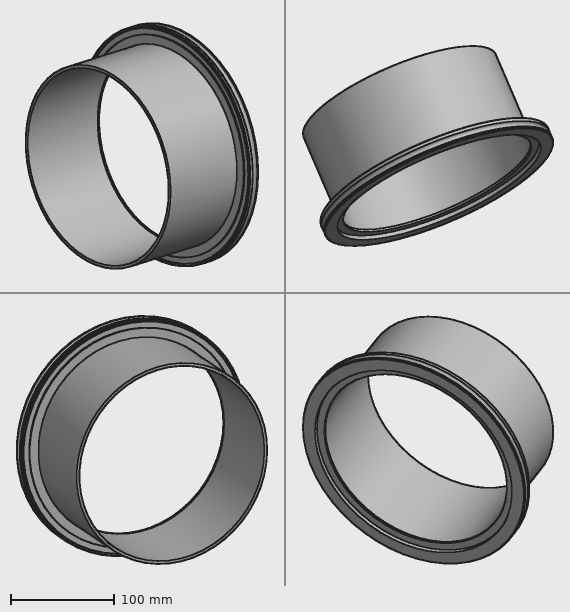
import cadquery as cq

TOTAL_LENGTH = 100.8

TUBE_OUTER_DIAMETER = 203.3
TUBE_INNER_DIAMETER = 197.0

FLANGE_DIAMETER = 240.0
FLANGE_THICKNESS = 12.0
FLANGE_BORE_DIAMETER = 197.3
SOCKET_DIAMETER = 203.8
SOCKET_DEPTH = 5.0
RIM_CHAMFER = 0.7

FACE_GROOVE_INNER_DIAMETER = 222.2
FACE_GROOVE_OUTER_DIAMETER = 235.0
FACE_GROOVE_DEPTH = 1.5

RECESS_DIAMETER = 213.0
RECESS_DEPTH = 4.5

RIM_GROOVE_FLOOR_DIAMETER = 235.0
RIM_GROOVE_WIDTH = 5.8
RIM_GROOVE_CENTER_Y = -5.0


def cylinder(diameter, front_y, rear_y):
    """Solid cylinder around the Y axis between two Y positions."""
    return cq.Workplane("XZ", origin=(0, rear_y, 0)).circle(diameter / 2).extrude(rear_y - front_y)


def make_tube():
    """Plain tube whose rear end rests on the floor of the flange socket."""
    rear_y = SOCKET_DEPTH - FLANGE_THICKNESS
    outside = cylinder(TUBE_OUTER_DIAMETER, -TOTAL_LENGTH, rear_y)
    return outside.cut(cylinder(TUBE_INNER_DIAMETER, -TOTAL_LENGTH, rear_y))


def make_rim_groove():
    """Ring with an arc-shaped section that cuts the groove around the rim."""
    rim_radius = FLANGE_DIAMETER / 2
    floor_radius = RIM_GROOVE_FLOOR_DIAMETER / 2
    front_y = RIM_GROOVE_CENTER_Y - RIM_GROOVE_WIDTH / 2
    rear_y = RIM_GROOVE_CENTER_Y + RIM_GROOVE_WIDTH / 2
    return (
        cq.Workplane("XY")
        .moveTo(rim_radius, front_y)
        .threePointArc((floor_radius, RIM_GROOVE_CENTER_Y), (rim_radius, rear_y))
        .close()
        .revolve(360, (0, 0, 0), (0, 1, 0))
    )


def make_face_groove():
    """Flat ring that cuts the groove in the front face."""
    front_y = -FLANGE_THICKNESS
    floor_y = front_y + FACE_GROOVE_DEPTH
    ring = cylinder(FACE_GROOVE_OUTER_DIAMETER, front_y, floor_y)
    return ring.cut(cylinder(FACE_GROOVE_INNER_DIAMETER, front_y, floor_y))


def make_flange():
    """Ring with chamfered edges, face and rim grooves, bore, tube socket and rear recess."""
    front_y = -FLANGE_THICKNESS
    disc = cylinder(FLANGE_DIAMETER, front_y, 0).faces("<Y or >Y").chamfer(RIM_CHAMFER)
    grooved_disc = disc.cut(make_face_groove()).cut(make_rim_groove())
    bore = cylinder(FLANGE_BORE_DIAMETER, front_y, 0)
    socket = cylinder(SOCKET_DIAMETER, front_y, front_y + SOCKET_DEPTH)
    recess = cylinder(RECESS_DIAMETER, -RECESS_DEPTH, 0)
    return grooved_disc.cut(bore).cut(socket).cut(recess)


tube = make_tube()
flange = make_flange()

result = cq.Compound.makeCompound([tube.val(), flange.val()])